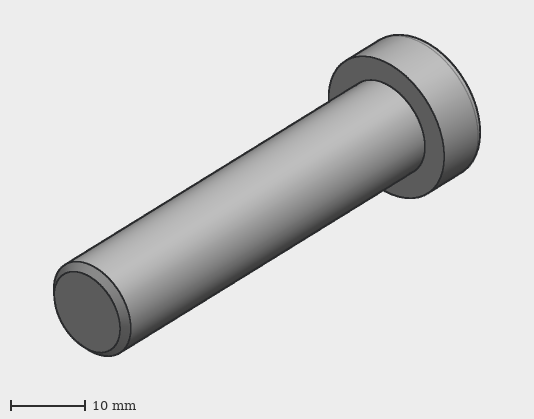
import cadquery as cq

total_length = 68.0
head_length = 8.0
head_diameter = 21.0
shank_diameter = 14.0
head_edge_radius = 1.3
tip_chamfer = 1.0

shank_length = total_length - head_length


def cylinder_along_y(diameter, length, start_y):
    """Solid cylinder on the Y axis, running toward +Y from start_y."""
    return cq.Workplane("XZ", origin=(0, start_y, 0)).circle(diameter / 2).extrude(-length)


tip_y = -total_length / 2
shank = cylinder_along_y(shank_diameter, shank_length, tip_y).faces("<Y").edges().chamfer(tip_chamfer)

head = cylinder_along_y(head_diameter, head_length, tip_y + shank_length).faces(">Y").edges().fillet(head_edge_radius)

result = shank.union(head)